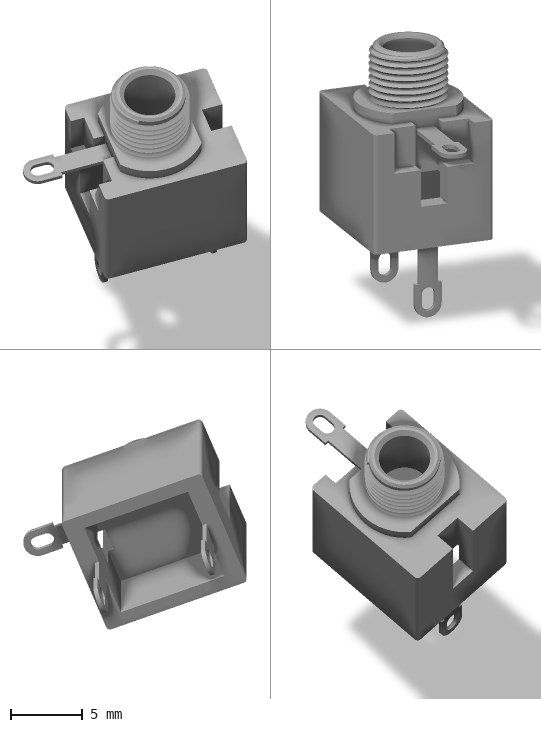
import cadquery as cq


width = 9.0
length = 10.5
height = 8.8
front_reach = 4.8
corner_radius = 0.3
front_y = -front_reach
back_y = length - front_reach

flange_diameter = 7.7
flange_across_flats = 6.0
flange_height = 0.8
bushing_diameter = 5.0
bushing_height = 4.0
bushing_edge_chamfer = 0.2
bore_diameter = 3.6
bore_edge_chamfer = 0.3
flange_top = height + flange_height
bushing_top = flange_top + bushing_height

thread_pitch = 0.5
thread_depth = 0.29
thread_base_width = 0.48
thread_overlap = 0.05
thread_turns = 7.9
thread_taper_length = 0.63
root_radius = bushing_diameter / 2
base_radius = root_radius - thread_overlap
crest_radius = root_radius + thread_depth

tag_width = 2.0
tag_head_length = 2.5
tag_hole_width = 1.0
tag_hole_length = 1.7
neck_width = 1.43
terminal_thickness = 0.3
terminal_inset = 1.07
lower_neck_length = 3.0
upper_neck_length = 1.99
upper_terminal_drop = 0.52

slot_width = tag_width
slot_drop = 5.7
front_slot_depth = front_reach - flange_across_flats / 2
back_slot_depth = 1.5
recess_width = 6.0
recess_drop = 3.0
recess_depth = 1.0
cavity_drop = 3.8
end_wall = terminal_inset + terminal_thickness
side_wall = 1.0


def box_between(x_range, y_range, z_range):
    """Box spanning the given low and high limits on each axis."""
    sizes = [high - low for low, high in (x_range, y_range, z_range)]
    corner = (x_range[0], y_range[0], z_range[0])
    return cq.Workplane("XY").box(*sizes, centered=False).translate(corner)


def centred_box(span, y_range, z_range):
    """Box symmetric about the YZ plane."""
    return box_between((-span / 2, span / 2), y_range, z_range)


def make_housing():
    body = centred_box(width, (front_y, back_y), (0, height))
    body = body.edges("|Z").fillet(corner_radius)

    recess = centred_box(recess_width, (front_y, front_y + recess_depth), (height - recess_drop, height))
    front_slot = centred_box(slot_width, (front_y, front_y + front_slot_depth), (height - slot_drop, height))
    back_slot = centred_box(slot_width, (back_y - back_slot_depth, back_y), (height - slot_drop, height))
    cavity = centred_box(
        width - 2 * side_wall,
        (front_y + end_wall, back_y - end_wall),
        (0, height - cavity_drop),
    )
    return body.cut(recess).cut(front_slot).cut(back_slot).cut(cavity)


def make_flange():
    disc = cq.Workplane("XY").workplane(offset=height).circle(flange_diameter / 2).extrude(flange_height)
    half_flats = flange_across_flats / 2
    return disc.intersect(centred_box(flange_diameter, (-half_flats, half_flats), (height, flange_top)))


def make_bushing():
    post = cq.Workplane("XY").workplane(offset=flange_top).circle(root_radius).extrude(bushing_height)
    return post.faces(">Z").chamfer(bushing_edge_chamfer)


def make_thread():
    """Right-handed V-shaped ridge that rises out of the flange and tapers off at the bushing rim."""
    base_half = thread_base_width / 2
    helix = cq.Wire.makeHelix(thread_pitch, thread_pitch * thread_turns, base_radius)
    ridge = (
        cq.Workplane("XZ")
        .polyline([(base_radius, -base_half), (crest_radius, 0), (base_radius, base_half)])
        .close()
        .sweep(cq.Workplane(obj=helix), isFrenet=True)
    )
    buried_start = flange_top - thread_pitch / 2
    return ridge.translate((0, 0, buried_start)).intersect(make_lead_in_cone())


def make_lead_in_cone():
    """Cone that clears the crests low down, trims them near the rim and stops at the rim chamfer."""
    slope = thread_depth / thread_taper_length
    cone_top = bushing_top - bushing_edge_chamfer
    top_radius = root_radius + slope * bushing_edge_chamfer
    bottom_radius = root_radius + slope * (bushing_top - height)
    return (
        cq.Workplane("XZ")
        .moveTo(0, height)
        .lineTo(bottom_radius, height)
        .lineTo(top_radius, cone_top)
        .lineTo(0, cone_top)
        .close()
        .revolve(360, (0, 0, 0), (0, 1, 0))
    )


def make_bore():
    """Blind bore down to the housing top, with a countersunk mouth."""
    radius = bore_diameter / 2
    return (
        cq.Workplane("XZ")
        .moveTo(0, height)
        .lineTo(radius, height)
        .lineTo(radius, bushing_top - bore_edge_chamfer)
        .lineTo(radius + bore_edge_chamfer, bushing_top)
        .lineTo(0, bushing_top)
        .close()
        .revolve(360, (0, 0, 0), (0, 1, 0))
    )


def make_terminal(neck_length, root_length=0):
    """Flat solder terminal in the XY plane pointing to -Y, leaving the housing at Y = 0."""
    tag_radius = tag_width / 2
    shoulder_y = -neck_length
    tip_y = shoulder_y - tag_head_length
    arc_y = tip_y + tag_radius
    neck = centred_box(neck_width, (shoulder_y, root_length), (0, terminal_thickness))
    head = (
        cq.Workplane("XY")
        .moveTo(-tag_radius, shoulder_y)
        .lineTo(-tag_radius, arc_y)
        .threePointArc((0, tip_y), (tag_radius, arc_y))
        .lineTo(tag_radius, shoulder_y)
        .close()
        .extrude(terminal_thickness)
    )
    hole_y = arc_y + (tag_hole_length - tag_hole_width) / 2
    hole = (
        cq.Workplane("XY")
        .center(0, hole_y)
        .slot2D(tag_hole_length, tag_hole_width, 90)
        .extrude(terminal_thickness)
    )
    return neck.union(head).cut(hole)


def make_terminals():
    upper_z = height - upper_terminal_drop - terminal_thickness
    upper = make_terminal(upper_neck_length, front_slot_depth).translate((0, front_y, upper_z))

    lower = make_terminal(lower_neck_length).rotate((0, 0, 0), (1, 0, 0), 90)
    lower_front = lower.translate((0, front_y + end_wall, 0))
    lower_back = lower.translate((0, back_y - terminal_inset, 0))
    return [upper, lower_front, lower_back]


result = make_housing().union(make_flange()).union(make_bushing())
result = result.union(make_thread()).cut(make_bore())
for terminal in make_terminals():
    result = result.union(terminal)